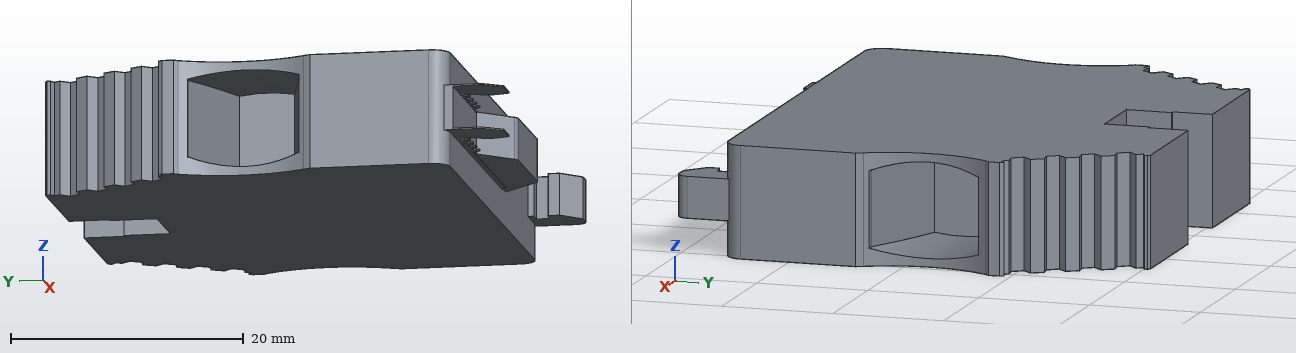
import cadquery as cq


half_width = 21.0
height = 36.4
overall_length = 41.05
thickness = 10.0
corner_radius = 1.6

waist_y = 18.1
waist_half_span = 5.5
waist_top_blend = 0.35
waist_bottom_blend = 0.65
waist_floor_x = -19.28
waist_edge_x = -20.7

notch_half_width = 3.45
notch_floor_half_width = 3.1
notch_step_y = 32.85
notch_floor_y = 28.75

groove_count = 4
groove_step = (-1.55, -2.7)
first_groove = [(-14.32, 35.15), (-13.55, 34.35), (-14.25, 33.4), (-15.25, 33.5)]
shoulder_top = [(-14.15, height), (-14.5, 36.25), (-14.5, 35.95), (-13.95, 35.7)]
shoulder_bottom = [(-20.3, 24.95), (-20.8, 25.3), (-half_width, 24.95)]

funnel_mouth = (22.85, 13.0)
funnel_back = (20.33, 15.5)
funnel_taper_x = -19.82
funnel_back_x = -9.65
funnel_end_half_height = 3.4
funnel_middle_half_height = 4.25

foot_left_x = -20.4
foot_root_y = 1.25
tongue_half_thickness = 1.85
plate_half_thickness = 1.97
tongue_left_y = -0.4
tongue_bottom_y = -3.5
block_left_x = -9.6
block_bottom_left_x = -6.65
block_bottom_right_x = 2.65
block_right_x = 6.1
tongue_corner_radius = 0.85

plate_right_x = 4.45
tooth_count = 4
tooth_pitch = 1.45
tooth_valley_y = -0.38
tooth_tip_y = -1.1
first_valley_x = -16.6
plate_end_slant = 0.35
hook_bottom_y = height - overall_length
hook_outline = [
    (-17.0, -0.45),
    (-16.9, -1.4),
    (-16.42, -2.2),
    (-16.2, -3.1),
    (-16.42, -3.85),
    (-16.67, hook_bottom_y),
    (-19.15, hook_bottom_y),
    (foot_left_x, -2.95),
]

catch_right_x = -foot_left_x
catch_bottom_y = -4.45
catch_tip_x = 16.35
catch_corner_radius = 1.0
catch_outline = [
    (catch_tip_x, foot_root_y),
    (catch_tip_x, -0.5),
    (17.5, -0.5),
    (17.5, -1.55),
    (catch_tip_x, -1.75),
    (catch_tip_x, -2.77),
    (18.23, catch_bottom_y),
    (catch_right_x, catch_bottom_y),
    (catch_right_x, foot_root_y),
]


def slab(outline, half_thickness):
    """Closed XY polygon extruded to both sides of Z = 0."""
    return cq.Workplane("XY").polyline(outline).close().extrude(half_thickness, both=True)


def grip_points():
    """Points of the grooved shoulder, from the top edge down to the side."""
    points = list(shoulder_top)
    for i in range(groove_count):
        points += [(x + i * groove_step[0], y + i * groove_step[1]) for x, y in first_groove]
    return points + shoulder_bottom


def half_housing():
    """Left half of the housing, with its grip and waist."""
    waist_top = waist_y + waist_half_span
    waist_bottom = waist_y - waist_half_span
    return (
        cq.Workplane("XY")
        .moveTo(0, 0)
        .lineTo(0, height)
        .polyline(grip_points(), includeCurrent=True)
        .lineTo(-half_width, waist_top + waist_top_blend)
        .lineTo(waist_edge_x, waist_top)
        .threePointArc((waist_floor_x, waist_y), (waist_edge_x, waist_bottom))
        .lineTo(-half_width, waist_bottom - waist_bottom_blend)
        .lineTo(-half_width, corner_radius)
        .radiusArc((-half_width + corner_radius, 0), -corner_radius)
        .close()
        .extrude(thickness / 2, both=True)
    )


def funnel():
    """Tapered pocket with bowed floor and ceiling, opening at the left waist."""
    mouth_top, mouth_bottom = funnel_mouth
    back_top, back_bottom = funnel_back
    taper = slab(
        [
            (-half_width, mouth_top),
            (funnel_taper_x, mouth_top),
            (funnel_back_x, back_top),
            (funnel_back_x, back_bottom),
            (funnel_taper_x, mouth_bottom),
            (-half_width, mouth_bottom),
        ],
        thickness / 2,
    )
    middle_y = (mouth_top + mouth_bottom) / 2
    barrel = (
        cq.Workplane("YZ", origin=(-half_width, 0, 0))
        .moveTo(mouth_bottom, -funnel_end_half_height)
        .threePointArc((middle_y, -funnel_middle_half_height), (mouth_top, -funnel_end_half_height))
        .lineTo(mouth_top, funnel_end_half_height)
        .threePointArc((middle_y, funnel_middle_half_height), (mouth_bottom, funnel_end_half_height))
        .close()
        .extrude(half_width)
    )
    return taper.intersect(barrel)


def notch():
    """Stepped screwdriver notch through the top edge."""
    return slab(
        [
            (-notch_half_width, height),
            (-notch_half_width, notch_step_y),
            (-notch_floor_half_width, notch_step_y),
            (-notch_floor_half_width, notch_floor_y),
            (notch_floor_half_width, notch_floor_y),
            (notch_floor_half_width, notch_step_y),
            (notch_half_width, notch_step_y),
            (notch_half_width, height),
        ],
        thickness / 2,
    )


def tongue():
    """Solid middle of the foot: a thin strip ending in a wedge-sided block."""
    block = slab(
        [
            (foot_left_x, foot_root_y),
            (foot_left_x, tongue_left_y),
            (block_left_x, tongue_left_y),
            (block_bottom_left_x, tongue_bottom_y),
            (block_bottom_right_x, tongue_bottom_y),
            (block_right_x, 0),
            (block_right_x, foot_root_y),
        ],
        tongue_half_thickness,
    )
    return block.edges("|Z and <Y").fillet(tongue_corner_radius)


def toothed_plates():
    """Outer plates of the foot, each with a hook and a row of teeth."""
    outline = [(foot_left_x, foot_root_y), (plate_right_x, foot_root_y)]
    outline += [(plate_right_x, 0), (plate_right_x - plate_end_slant, tooth_valley_y)]
    for i in reversed(range(tooth_count)):
        valley_x = first_valley_x + (i + 1) * tooth_pitch
        outline += [(valley_x, tooth_valley_y), (valley_x - tooth_pitch / 2, tooth_tip_y)]
    outline += [(first_valley_x, tooth_valley_y)] + hook_outline
    return slab(outline, plate_half_thickness).cut(slab(outline, tongue_half_thickness))


def rounded_catch():
    """Catch with its outer bottom corner rounded."""
    blank = slab(catch_outline, tongue_half_thickness)
    outer_corner = cq.selectors.NearestToPointSelector((catch_right_x, catch_bottom_y, 0))
    return blank.edges(outer_corner).fillet(catch_corner_radius)


left_half = half_housing().cut(funnel())
housing = left_half.union(left_half.mirror("YZ")).cut(notch())
catch = rounded_catch()

result = housing.union(toothed_plates()).union(tongue()).union(catch).clean()